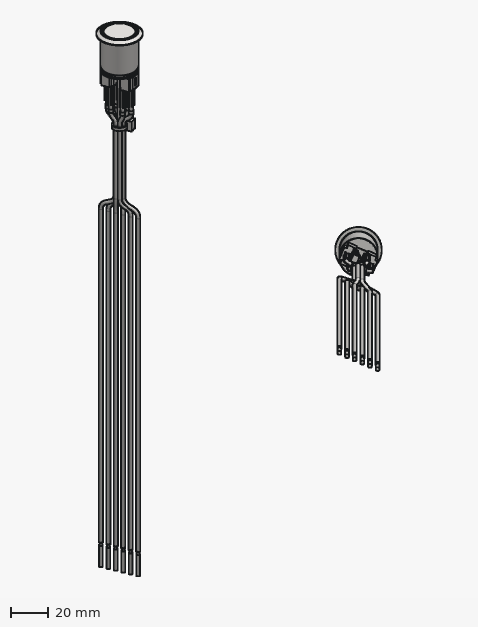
import cadquery as cq
import math

TOTAL_LENGTH = 332.55

BEZEL_D = 25.0
BEZEL_TOP_D = 20.4
BEZEL_EDGE_Z = -1.4
BEZEL_BOTTOM_Z = -1.9
BODY_D = 20.8
NECK_D = 20.3
NECK_BOTTOM_Z = -2.8
TAPER_TOP_Z = -20.9
TAPER_BOTTOM_D = 20.4
GROOVE_D = 19.6
GROOVE_TOP_Z = -21.8
GROOVE_BOTTOM_Z = -23.2
BODY_BOTTOM_Z = -23.8

RING_OUTER_D = 18.9
RING_INNER_D = 17.2
RING_DEPTH = 0.5

BASE_X = 16.4
BASE_Y = 9.6
BLOCK_TOP_Z = -24.8
BLOCK_BOTTOM_Z = -32.8
BLOCK_INNER_X = 1.8
BLOCK_OUTER_X = 9.7
BLOCK_Y = 7.0
PAD_X = 5.0
PAD_Y = 11.0
WINDOW_Y = 1.4
WINDOW_HEIGHT = 4.0
WINDOW_DEPTH = 1.0

CONTACT_RING_X = 7.0
CONTACT_RING_Y = 3.8
CONTACT_WIDTH = 2.8
POST_WIDTH = 0.7
POST_BOTTOM_Z = -44.0
COLLAR_TOP_Z = -47.0
COLLAR_BOTTOM_Z = -49.0

WIRE_D = 2.4
WIRE_ANGLES = (180, 120, 240, 60, 300, 0)
BUNDLE_RADIUS = 2.35
BUNDLE_TOP_Z = -56.5
BUNDLE_BOTTOM_Z = -102.0
SPREAD_Z = -112.0
OUTER_WIRE_X = 11.1
CORE_D = 2.6

STRIP_TOP_Z = -317.6
STRIP_LENGTH = 2.0
CONDUCTOR_D = 1.5
TIP_D = 2.2

TIE_D = 8.4
TIE_TOP_Z = -57.4
TIE_BOTTOM_Z = -59.4
TIE_HEAD_X = (2.2, 5.8)
TIE_HEAD_Y = (2.8, 7.0)
TIE_HEAD_Z = (-62.0, -56.0)
TIE_TAIL_X = (3.4, 4.6)
TIE_TAIL_END_Y = 8.0


def rod(diameter, x, y, top_z, bottom_z):
    return cq.Workplane("XY", origin=(x, y, bottom_z)).circle(diameter / 2).extrude(top_z - bottom_z)


def box(x_range, y_range, z_range):
    size = [abs(end - start) for start, end in (x_range, y_range, z_range)]
    corner = (min(x_range), min(y_range), min(z_range))
    return cq.Workplane("XY").box(*size, centered=False).translate(corner)


def centred_box(x, y, size_x, size_y, top_z, bottom_z):
    return box((x - size_x / 2, x + size_x / 2), (y - size_y / 2, y + size_y / 2), (bottom_z, top_z))


def ring(outer_d, inner_d, top_z, bottom_z):
    return rod(outer_d, 0, 0, top_z, bottom_z).cut(rod(inner_d, 0, 0, top_z, bottom_z))


def switch_head():
    profile = [
        (0, 0),
        (BEZEL_TOP_D / 2, 0),
        (BEZEL_D / 2, BEZEL_EDGE_Z),
        (BEZEL_D / 2, BEZEL_BOTTOM_Z),
        (NECK_D / 2, BEZEL_BOTTOM_Z),
        (NECK_D / 2, NECK_BOTTOM_Z),
        (BODY_D / 2, NECK_BOTTOM_Z),
        (BODY_D / 2, TAPER_TOP_Z),
        (TAPER_BOTTOM_D / 2, GROOVE_TOP_Z),
        (GROOVE_D / 2, GROOVE_TOP_Z),
        (GROOVE_D / 2, GROOVE_BOTTOM_Z),
        (BODY_D / 2, GROOVE_BOTTOM_Z),
        (BODY_D / 2, BODY_BOTTOM_Z),
        (0, BODY_BOTTOM_Z),
    ]
    head = cq.Workplane("XZ").polyline(profile).close().revolve(360, (0, 0), (0, 1))
    return head.cut(ring(RING_OUTER_D, RING_INNER_D, 0, -RING_DEPTH))


def terminal_block():
    block = centred_box(0, 0, BASE_X, BASE_Y, BODY_BOTTOM_Z, BLOCK_TOP_Z)
    pad_centre = (BLOCK_INNER_X + BLOCK_OUTER_X) / 2
    window_middle_z = (BLOCK_TOP_Z + BLOCK_BOTTOM_Z) / 2
    for side in (-1, 1):
        x_range = (side * BLOCK_INNER_X, side * BLOCK_OUTER_X)
        block = block.union(box(x_range, (-BLOCK_Y / 2, BLOCK_Y / 2), (BLOCK_BOTTOM_Z, BLOCK_TOP_Z)))
        block = block.union(centred_box(side * pad_centre, 0, PAD_X, PAD_Y, BLOCK_TOP_Z, BLOCK_BOTTOM_Z))
        window = centred_box(
            side * BLOCK_OUTER_X,
            0,
            2 * WINDOW_DEPTH,
            WINDOW_Y,
            window_middle_z + WINDOW_HEIGHT / 2,
            window_middle_z - WINDOW_HEIGHT / 2,
        )
        block = block.cut(window)
    return block


def contact(x, y):
    body = rod(WIRE_D, x, y, BLOCK_BOTTOM_Z, COLLAR_TOP_Z)
    post_offset = (CONTACT_WIDTH - POST_WIDTH) / 2
    for side_x in (-1, 1):
        for side_y in (-1, 1):
            post_x = x + side_x * post_offset
            post_y = y + side_y * post_offset
            body = body.union(
                centred_box(post_x, post_y, POST_WIDTH, POST_WIDTH, BLOCK_BOTTOM_Z, POST_BOTTOM_Z)
            )
    return body.union(rod(CONTACT_WIDTH, x, y, COLLAR_TOP_Z, COLLAR_BOTTOM_Z))


def bend(start, end):
    """Wire that leaves `start` and reaches `end` pointing straight down at both."""
    path_edge = cq.Edge.makeSpline(
        [cq.Vector(*start), cq.Vector(*end)],
        tangents=[cq.Vector(0, 0, -1), cq.Vector(0, 0, -1)],
    )
    path = cq.Workplane(cq.Wire.assembleEdges([path_edge]))
    return cq.Workplane("XY", origin=start).circle(WIRE_D / 2).sweep(path)


def wire(contact_xy, bundle_xy, end_x):
    strip_bottom_z = STRIP_TOP_Z - STRIP_LENGTH
    run = bend((*contact_xy, COLLAR_BOTTOM_Z), (*bundle_xy, BUNDLE_TOP_Z))
    run = run.union(rod(WIRE_D, *bundle_xy, BUNDLE_TOP_Z, BUNDLE_BOTTOM_Z))
    run = run.union(bend((*bundle_xy, BUNDLE_BOTTOM_Z), (end_x, 0, SPREAD_Z)))
    run = run.union(rod(WIRE_D, end_x, 0, SPREAD_Z, STRIP_TOP_Z))
    run = run.union(rod(CONDUCTOR_D, end_x, 0, STRIP_TOP_Z, strip_bottom_z))
    return run.union(rod(TIP_D, end_x, 0, strip_bottom_z, -TOTAL_LENGTH))


def harness():
    """Central core with six contacts and wires, bundled in a ring and then spread in a row."""
    parts = rod(CORE_D, 0, 0, BODY_BOTTOM_Z, BUNDLE_BOTTOM_Z)
    end_pitch = 2 * OUTER_WIRE_X / (len(WIRE_ANGLES) - 1)
    for index, angle in enumerate(WIRE_ANGLES):
        cosine = math.cos(math.radians(angle))
        sine = math.sin(math.radians(angle))
        contact_xy = (CONTACT_RING_X * cosine, CONTACT_RING_Y * sine)
        bundle_xy = (BUNDLE_RADIUS * cosine, BUNDLE_RADIUS * sine)
        parts = parts.union(contact(*contact_xy))
        parts = parts.union(wire(contact_xy, bundle_xy, -OUTER_WIRE_X + index * end_pitch))
    return parts


def cable_tie():
    band = rod(TIE_D, 0, 0, TIE_TOP_Z, TIE_BOTTOM_Z)
    head = box(TIE_HEAD_X, TIE_HEAD_Y, TIE_HEAD_Z)
    tail = box(TIE_TAIL_X, (TIE_HEAD_Y[0], TIE_TAIL_END_Y), (TIE_BOTTOM_Z, TIE_TOP_Z))
    return band.union(head).union(tail)


result = switch_head().union(terminal_block()).union(harness()).union(cable_tie())